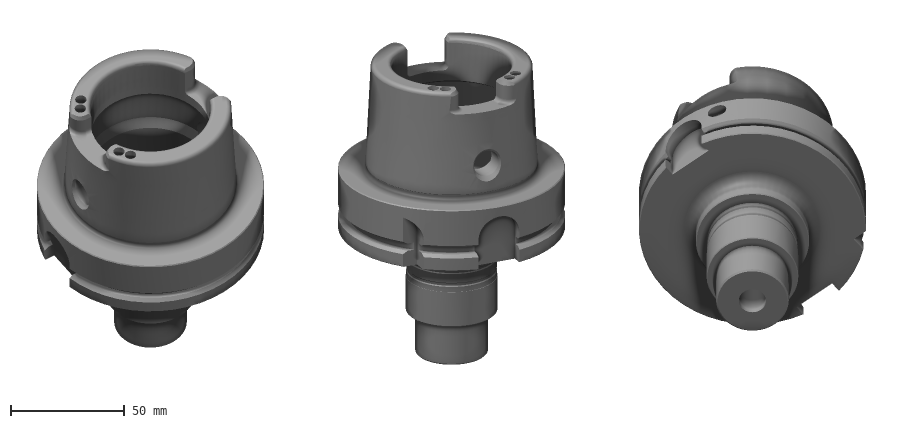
import cadquery as cq
import math


total_height = 138.0
taper_height = 50.0
flange_height = 29.0
shank_bottom = taper_height - total_height

taper_base_z = 2.5
taper_base_radius = 38.0
taper_ratio = 20.0
taper_top_radius = taper_base_radius - (taper_height - taper_base_z) / taper_ratio
rim_rounding = 2.0
relief_radius = 75.5 / 2
relief_rounding = 1.5

flange_radius = 100.0 / 2
flange_chamfer = 0.4
groove_radius = 46.0
groove_step_radius = 48.3
groove_top_z = -17.0
groove_bottom_z = -22.9
groove_flank_height = 1.2

collar_radius = 50.0 / 2
collar_height = 10.1
collar_blend = 5.0
collar_chamfer = 0.4
upper_neck_radius = 40.0 / 2
upper_neck_end_z = -51.5
neck_radius = 40.5 / 2
neck_end_z = -68.0
neck_chamfer = 0.4
shank_radius = 32.0 / 2
shank_chamfer = 0.7
ring_groove_depths = (13.0, 19.0)
ring_groove_width = 2.0
ring_groove_depth = 0.4

mouth_radius = 53.0 / 2
mouth_rounding = 2.0
recess_radius = 29.0
recess_top_z = 30.1
recess_bottom_z = 12.5
recess_flank_angle = 30.0
floor_z = -11.0
floor_rounding = mouth_radius - 50.0 / 2
seat_radius = 22.4 / 2
seat_chamfer = 0.8
seat_depth = 11.0
through_radius = 12.0 / 2

drive_slot_width = 20.0
drive_slot_front_depth = 10.1
drive_slot_back_depth = 14.9
drive_land_y = 32.2
drive_corner_radius = 10.0 / 2
drive_floor_rounding = 2.0
drive_edge_width = 1.0
drive_edge_angle = 30.0

cross_hole_z = 15.2
cross_hole_radius = 12.0 / 2
cross_sink_radius = 7.5

flange_slot_width = 20.0
flange_slot_top_z = -4.8
flange_slot_floor = 44.0
corner_slot_floor = 31.7

rim_hole_diameter = 8.5
rim_hole_depth = 4.5
rim_hole_z = -6.9
rim_hole_angle = 110.0

pin_hole_diameter = 5.0
pin_hole_depth = 5.0
pin_circle_radius = 30.9
pin_hole_angles = (30.3, 40.4)
drill_point_angle = 118.0


def turned_body():
    collar_end_z = -flange_height - collar_height
    step_top_z = groove_top_z - groove_flank_height
    step_bottom_z = groove_bottom_z + groove_flank_height
    blend = collar_blend * (1 - math.sqrt(0.5))
    round_in = relief_rounding * (1 - math.sqrt(0.5))
    rim_middle = rim_rounding * (1 - math.sqrt(0.5))
    return (
        cq.Workplane("XZ")
        .moveTo(0, taper_height)
        .lineTo(taper_top_radius - rim_rounding, taper_height)
        .threePointArc(
            (taper_top_radius - rim_middle, taper_height - rim_middle),
            (taper_top_radius + rim_rounding / taper_ratio, taper_height - rim_rounding),
        )
        .lineTo(taper_base_radius, taper_base_z)
        .lineTo(relief_radius, taper_base_z - (taper_base_radius - relief_radius))
        .lineTo(relief_radius, relief_rounding)
        .threePointArc((relief_radius + round_in, round_in), (relief_radius + relief_rounding, 0))
        .lineTo(flange_radius - flange_chamfer, 0)
        .lineTo(flange_radius, -flange_chamfer)
        .lineTo(flange_radius, groove_top_z)
        .lineTo(groove_step_radius, step_top_z)
        .lineTo(groove_radius, step_top_z)
        .lineTo(groove_radius, step_bottom_z)
        .lineTo(groove_step_radius, step_bottom_z)
        .lineTo(flange_radius, groove_bottom_z)
        .lineTo(flange_radius, flange_chamfer - flange_height)
        .lineTo(flange_radius - flange_chamfer, -flange_height)
        .lineTo(collar_radius + collar_blend, -flange_height)
        .threePointArc(
            (collar_radius + blend, -flange_height - blend),
            (collar_radius, -flange_height - collar_blend),
        )
        .lineTo(collar_radius, collar_end_z + collar_chamfer)
        .lineTo(collar_radius - collar_chamfer, collar_end_z)
        .lineTo(upper_neck_radius, collar_end_z)
        .lineTo(upper_neck_radius, upper_neck_end_z)
        .lineTo(neck_radius, upper_neck_end_z)
        .lineTo(neck_radius, neck_end_z + neck_chamfer)
        .lineTo(neck_radius - neck_chamfer, neck_end_z)
        .lineTo(shank_radius, neck_end_z)
        .lineTo(shank_radius, shank_bottom + shank_chamfer)
        .lineTo(shank_radius - shank_chamfer, shank_bottom)
        .lineTo(0, shank_bottom)
        .close()
        .revolve(360, (0, 0, 0), (0, 1, 0))
    )


def ring_groove(depth_below_flange):
    """Shallow groove around the upper neck with 45-degree flanks."""
    middle_z = -flange_height - depth_below_flange
    half_width = ring_groove_width / 2
    floor_half_width = half_width - ring_groove_depth
    floor_radius = upper_neck_radius - ring_groove_depth
    outer_radius = upper_neck_radius + ring_groove_depth
    outer_half_width = half_width + ring_groove_depth
    return (
        cq.Workplane("XZ")
        .moveTo(floor_radius, middle_z + floor_half_width)
        .lineTo(outer_radius, middle_z + outer_half_width)
        .lineTo(outer_radius, middle_z - outer_half_width)
        .lineTo(floor_radius, middle_z - floor_half_width)
        .close()
        .revolve(360, (0, 0, 0), (0, 1, 0))
    )


def cavity():
    recess_step = recess_radius - mouth_radius
    shoulder_drop = recess_step * math.tan(math.radians(recess_flank_angle))
    lower_drop = recess_step / math.tan(math.radians(recess_flank_angle))
    mouth_turn = mouth_rounding * (1 - math.sqrt(0.5))
    floor_turn = floor_rounding * (1 - math.sqrt(0.5))
    return (
        cq.Workplane("XZ")
        .moveTo(0, taper_height)
        .lineTo(mouth_radius + mouth_rounding, taper_height)
        .threePointArc(
            (mouth_radius + mouth_turn, taper_height - mouth_turn),
            (mouth_radius, taper_height - mouth_rounding),
        )
        .lineTo(mouth_radius, recess_top_z)
        .lineTo(recess_radius, recess_top_z - shoulder_drop)
        .lineTo(recess_radius, recess_bottom_z)
        .lineTo(mouth_radius, recess_bottom_z - lower_drop)
        .lineTo(mouth_radius, floor_z + floor_rounding)
        .threePointArc(
            (mouth_radius - floor_turn, floor_z + floor_turn),
            (mouth_radius - floor_rounding, floor_z),
        )
        .lineTo(seat_radius + seat_chamfer, floor_z)
        .lineTo(seat_radius, floor_z - seat_chamfer)
        .lineTo(seat_radius, floor_z - seat_depth)
        .lineTo(through_radius, floor_z - seat_depth)
        .lineTo(through_radius, shank_bottom)
        .lineTo(0, shank_bottom)
        .close()
        .revolve(360, (0, 0, 0), (0, 1, 0))
    )


def drive_slot_outline(z):
    """Slot outline on the -Y side, flaring through round corners into the flat lands."""
    half_width = drive_slot_width / 2
    inner_y = -drive_land_y / 2
    outer_y = -flange_radius
    reach = mouth_radius
    corner = drive_corner_radius
    turn = corner * (1 - math.sqrt(0.5))
    corner_y = corner - drive_land_y
    return (
        cq.Workplane("XY", origin=(0, 0, z))
        .moveTo(half_width, inner_y)
        .lineTo(half_width, corner_y)
        .threePointArc((half_width + turn, turn - drive_land_y), (half_width + corner, -drive_land_y))
        .lineTo(reach, -drive_land_y)
        .lineTo(reach, outer_y)
        .lineTo(-reach, outer_y)
        .lineTo(-reach, -drive_land_y)
        .lineTo(-half_width - corner, -drive_land_y)
        .threePointArc((-half_width - turn, turn - drive_land_y), (-half_width, corner_y))
        .lineTo(-half_width, inner_y)
        .close()
    )


def drive_slot(depth):
    edge_height = drive_edge_width / math.tan(math.radians(drive_edge_angle))
    slot = drive_slot_outline(taper_height - depth).extrude(depth)
    slot = slot.faces("<Z").edges().fillet(drive_floor_rounding)
    flare = drive_slot_outline(taper_height - edge_height).extrude(edge_height, taper=-drive_edge_angle)
    return slot.union(flare)


def cross_hole():
    """Countersunk hole through the taper wall on the -Y side."""
    sink = cross_sink_radius - cross_hole_radius
    surface_y = taper_base_radius - (cross_hole_z - taper_base_z) / taper_ratio
    return (
        cq.Workplane("XY", origin=(0, 0, cross_hole_z))
        .moveTo(0, 0)
        .lineTo(cross_hole_radius, 0)
        .lineTo(cross_hole_radius, sink - surface_y)
        .lineTo(cross_sink_radius + sink, -surface_y - sink)
        .lineTo(0, -surface_y - sink)
        .close()
        .revolve(360, (0, 0, 0), (0, 1, 0))
    )


def flange_slot(centre_x, floor):
    """Slot open at the flange's lower face and -Y rim, with a round upper end."""
    radius = flange_slot_width / 2
    spring_z = flange_slot_top_z - radius
    return (
        cq.Workplane("XZ", origin=(centre_x, -floor, 0))
        .moveTo(-radius, -flange_height)
        .lineTo(-radius, spring_z)
        .threePointArc((0, flange_slot_top_z), (radius, spring_z))
        .lineTo(radius, -flange_height)
        .close()
        .extrude(flange_radius - floor)
    )


def rim_hole():
    return (
        cq.Workplane("YZ", origin=(flange_radius - rim_hole_depth, 0, rim_hole_z))
        .circle(rim_hole_diameter / 2)
        .extrude(2 * rim_hole_depth)
        .rotate((0, 0, 0), (0, 0, 1), rim_hole_angle)
    )


def pin_hole(angle):
    radius = pin_hole_diameter / 2
    point = radius / math.tan(math.radians(drill_point_angle / 2))
    return (
        cq.Workplane("XZ", origin=(0, 0, taper_height))
        .moveTo(0, 0)
        .lineTo(radius, 0)
        .lineTo(radius, -pin_hole_depth)
        .lineTo(0, -pin_hole_depth - point)
        .close()
        .revolve(360, (0, 0, 0), (0, 1, 0))
        .translate((0, -pin_circle_radius, 0))
        .rotate((0, 0, 0), (0, 0, 1), angle)
    )


def half_turn(shape):
    return shape.rotate((0, 0, 0), (0, 0, 1), 180)


result = turned_body().cut(cavity())

for depth in ring_groove_depths:
    result = result.cut(ring_groove(depth))

result = result.cut(drive_slot(drive_slot_front_depth))
result = result.cut(half_turn(drive_slot(drive_slot_back_depth)))

for pin_angle in pin_hole_angles:
    result = result.cut(pin_hole(pin_angle)).cut(pin_hole(-pin_angle))

result = result.cut(cross_hole()).cut(half_turn(cross_hole()))

middle_slot = flange_slot(0, flange_slot_floor)
result = result.cut(middle_slot).cut(half_turn(middle_slot))
result = result.cut(flange_slot(-corner_slot_floor - flange_slot_width / 2, corner_slot_floor))

result = result.cut(rim_hole())